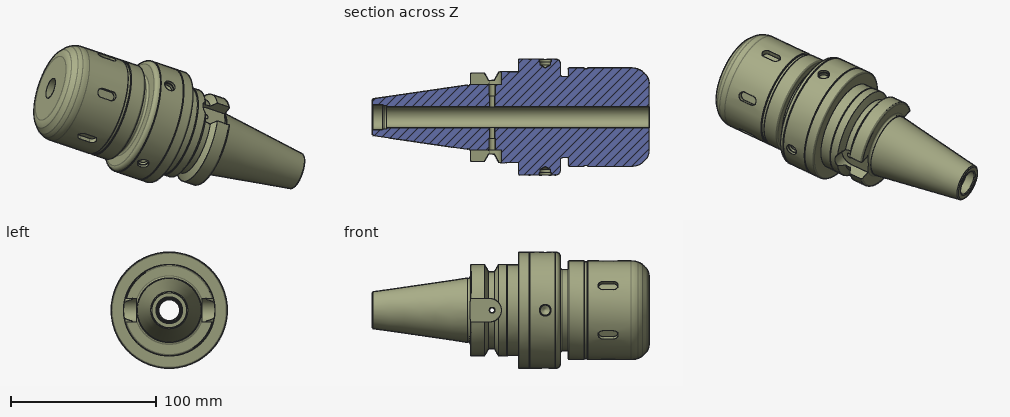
import cadquery as cq
import math


taper_length = 65.4
gauge_radius = 44.45 / 2
taper_slope = (7 / 24) / 2
taper_tip_radius = gauge_radius - taper_length * taper_slope
taper_tip_chamfer = 0.7
relief_radius = 43.5 / 2
relief_chamfer = 0.2
relief_fillet = 1.8

flange_start = relief_chamfer + relief_fillet
flange_end = 27.0
flange_radius = 31.5
flange_fillet = 1.0
groove_center = 16.6
groove_radius = 26.6
groove_floor_width = 4.0
groove_flank_angle = 30
groove_flank = (flange_radius - groove_radius) * math.tan(math.radians(groove_flank_angle))
body_radius = 31.25
body_step_length = 0.7

keyway_count = 2
keyway_width = 16.1
keyway_floor = 22.6
keyway_end = 23.4

cross_hole_x = 17.0
cross_thread_diameter = 4.0
cross_drill_diameter = 3.4
cross_thread_depth = 8.0

ring_start = 35.1
ring_end = 64.0
ring_radius = 40.0
ring_back_fillet = 0.8
ring_front_fillet = 3.3
ring_groove_width = 0.6
rear_groove_x = 42.8
front_groove_x = ring_end - ring_front_fillet - ring_groove_width / 2
ring_groove_depth = 0.3
ring_groove_flank = 0.1
neck_radius = 28.0
neck_fillet = 1.5

ring_hole_count = 4
ring_hole_x = 53.5
ring_thread_diameter = 8.0
ring_drill_diameter = 6.93
ring_thread_depth = 2.0
ring_drill_depth = 4.0
drill_point_angle = 118

nut_start = 69.2
nut_end = 125.0
nut_radius = 34.0
nut_fillet = 1.0
nose_arc_radius = 12.5
nose_start = 112.5
nose_shoulder_x = 117.2
nose_shoulder_radius = 33.2
nose_cone_start = 120.2
nose_cone_start_radius = 31.6
nose_cone_end = 123.5
nose_cone_end_radius = nose_cone_start_radius - (nose_cone_end - nose_cone_start)
nose_face_radius = 23.0
nose_tip_length = nut_end - nose_cone_end
nose_tip_height = nose_cone_end_radius - nose_face_radius
nose_tip_arc_radius = (nose_tip_length**2 + nose_tip_height**2) / (2 * nose_tip_length)
nut_groove_start = 80.0
nut_groove_end = 82.7
nut_groove_depth = 0.6
nut_groove_flank = 0.5

slot_count = 6
slot_center_x = 96.7
slot_length = 13.7
slot_width = 6.5
slot_floor = 30.5

cut_clearance = 1.0

mouth_diameter = 17.0
mouth_depth = 7.0
thread_lead_in = 1.0
mouth_chamfer = 0.7
thread_diameter = 16.0
thread_depth = 10.0
bore_diameter = 14.25


def make_body():
    """Revolve the outer outline about the X axis."""
    half_floor = groove_floor_width / 2
    outline = (
        cq.Workplane("XY")
        .moveTo(-taper_length, 0)
        .lineTo(-taper_length, taper_tip_radius - taper_tip_chamfer)
        .lineTo(
            -taper_length + taper_tip_chamfer,
            taper_tip_radius + taper_tip_chamfer * taper_slope,
        )
        .lineTo(0, gauge_radius)
        .lineTo(relief_chamfer, relief_radius)
        .radiusArc((flange_start, relief_radius + relief_fillet), -relief_fillet)
        .lineTo(flange_start, flange_radius - flange_fillet)
        .radiusArc((flange_start + flange_fillet, flange_radius), flange_fillet)
        .lineTo(groove_center - half_floor - groove_flank, flange_radius)
        .lineTo(groove_center - half_floor, groove_radius)
        .lineTo(groove_center + half_floor, groove_radius)
        .lineTo(groove_center + half_floor + groove_flank, flange_radius)
        .lineTo(flange_end, flange_radius)
        .lineTo(flange_end + body_step_length, body_radius)
        .lineTo(ring_start, body_radius)
        .lineTo(ring_start, ring_radius - ring_back_fillet)
        .radiusArc((ring_start + ring_back_fillet, ring_radius), ring_back_fillet)
        .lineTo(ring_end - ring_front_fillet, ring_radius)
        .radiusArc((ring_end, ring_radius - ring_front_fillet), ring_front_fillet)
        .lineTo(ring_end, neck_radius + neck_fillet)
        .radiusArc((ring_end + neck_fillet, neck_radius), -neck_fillet)
        .lineTo(nut_start, neck_radius)
        .lineTo(nut_start, nut_radius - nut_fillet)
        .radiusArc((nut_start + nut_fillet, nut_radius), nut_fillet)
        .lineTo(nose_start, nut_radius)
        .radiusArc((nose_shoulder_x, nose_shoulder_radius), nose_arc_radius)
        .radiusArc((nose_cone_start, nose_cone_start_radius), nose_arc_radius)
        .lineTo(nose_cone_end, nose_cone_end_radius)
        .radiusArc((nut_end, nose_face_radius), nose_tip_arc_radius)
        .lineTo(nut_end, 0)
        .close()
    )
    return outline.revolve(360, (0, 0, 0), (1, 0, 0))


def groove_cut(start, end, flank_length, outer_radius, depth):
    """Return the ring removed by a groove with sloping flanks around the axis."""
    floor_radius = outer_radius - depth
    return (
        cq.Workplane("XY")
        .moveTo(start, outer_radius)
        .lineTo(start + flank_length, floor_radius)
        .lineTo(end - flank_length, floor_radius)
        .lineTo(end, outer_radius)
        .close()
        .revolve(360, (0, 0, 0), (1, 0, 0))
    )


def keyway_cut():
    """Return one round-ended keyway, open toward the taper, on the -Y side."""
    half_width = keyway_width / 2
    end_center = keyway_end - half_width
    return (
        cq.Workplane("XZ", origin=(0, -keyway_floor, 0))
        .moveTo(0, -half_width)
        .lineTo(end_center, -half_width)
        .threePointArc((keyway_end, 0), (end_center, half_width))
        .lineTo(0, half_width)
        .close()
        .extrude(ring_radius - keyway_floor)
    )


def cross_hole_cut():
    """Return the drill through both keyways with the threaded stretch at each end."""
    def hole(diameter, start, length):
        plane = cq.Workplane("XZ", origin=(cross_hole_x, start, 0))
        return plane.circle(diameter / 2).extrude(length)

    cut = hole(cross_drill_diameter, keyway_floor, 2 * keyway_floor)
    cut = cut.union(hole(cross_thread_diameter, keyway_floor, cross_thread_depth))
    far_start = cross_thread_depth - keyway_floor
    return cut.union(hole(cross_thread_diameter, far_start, cross_thread_depth))


def ring_hole_cut():
    """Return one blind threaded hole, entering the ring from +Z."""
    thread_radius = ring_thread_diameter / 2
    drill_radius = ring_drill_diameter / 2
    point_depth = drill_radius / math.tan(math.radians(drill_point_angle / 2))
    top = ring_radius + cut_clearance
    return (
        cq.Workplane("XZ", origin=(ring_hole_x, 0, 0))
        .moveTo(0, top)
        .lineTo(thread_radius, top)
        .lineTo(thread_radius, ring_radius - ring_thread_depth)
        .lineTo(drill_radius, ring_radius - ring_thread_depth)
        .lineTo(drill_radius, ring_radius - ring_drill_depth)
        .lineTo(0, ring_radius - ring_drill_depth - point_depth)
        .close()
        .revolve(360, (0, 0, 0), (0, 1, 0))
    )


def slot_cut():
    """Return one flat-floored wrench slot on the +Z side of the nut."""
    return (
        cq.Workplane("XY", origin=(slot_center_x, 0, slot_floor))
        .slot2D(slot_length, slot_width)
        .extrude(nut_radius - slot_floor + cut_clearance)
    )


def bore_cut():
    """Return the stepped bore, with a chamfered mouth at the taper tip."""
    mouth_radius = mouth_diameter / 2
    thread_radius = thread_diameter / 2
    bore_radius = bore_diameter / 2
    tip = -taper_length
    return (
        cq.Workplane("XY")
        .moveTo(tip, 0)
        .lineTo(tip, mouth_radius + mouth_chamfer)
        .lineTo(tip + mouth_chamfer, mouth_radius)
        .lineTo(tip + mouth_depth, mouth_radius)
        .lineTo(tip + mouth_depth + thread_lead_in, thread_radius)
        .lineTo(tip + thread_depth, thread_radius)
        .lineTo(tip + thread_depth, bore_radius)
        .lineTo(nut_end, bore_radius)
        .lineTo(nut_end, 0)
        .close()
        .revolve(360, (0, 0, 0), (1, 0, 0))
    )


def cut_around_axis(part, cutter, count):
    """Cut equally spaced copies of the cutter around the X axis."""
    for index in range(count):
        part = part.cut(cutter.rotate((0, 0, 0), (1, 0, 0), index * 360 / count))
    return part


result = make_body()
for groove_x in (rear_groove_x, front_groove_x):
    groove_start = groove_x - ring_groove_width / 2
    groove_end = groove_x + ring_groove_width / 2
    result = result.cut(
        groove_cut(groove_start, groove_end, ring_groove_flank, ring_radius, ring_groove_depth)
    )
result = result.cut(
    groove_cut(nut_groove_start, nut_groove_end, nut_groove_flank, nut_radius, nut_groove_depth)
)
result = cut_around_axis(result, keyway_cut(), keyway_count)
result = cut_around_axis(result, ring_hole_cut(), ring_hole_count)
result = cut_around_axis(result, slot_cut(), slot_count)
result = result.cut(cross_hole_cut())
result = result.cut(bore_cut())